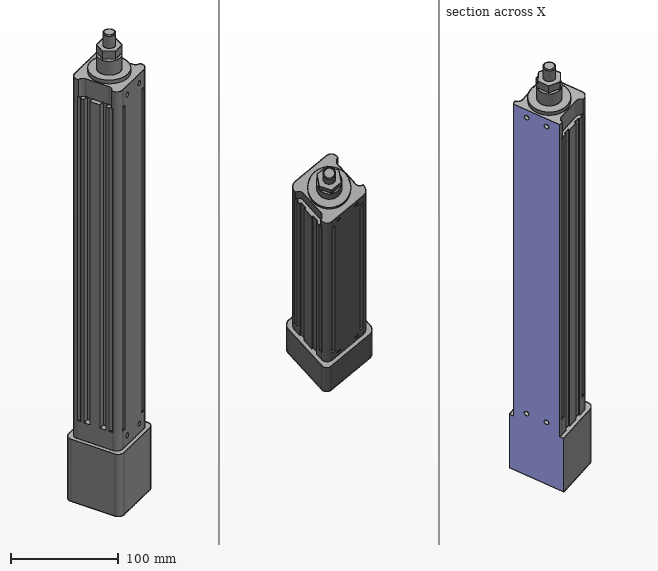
import cadquery as cq
import math

total_height = 520.0
base_height = 70.0
body_top = 475.5
collar_top = 479.5
rod_top = 495.0
nut_bottom = 496.5
nut_top = 505.5

base_width = 60.0
base_corner_radius = 6.0

body_width = 52.0
body_corner_radius = 7.0
half_body = body_width / 2

collar_diameter = 40.0
rod_diameter = 24.0
thread_diameter = 12.0
thread_chamfer = 1.0
nut_across_flats = 21.0
nut_across_corners = nut_across_flats / math.cos(math.pi / 6)

pocket_width = 35.5
pocket_depth = 4.5
pocket_height = 20.5
pocket_corner_radius = 5.0
pocket_floor = body_top - pocket_height

slot_width = 6.0
slot_ridge_width = 11.0
slot_offset = (slot_ridge_width + slot_width) / 2
deep_slot_depth = 6.0
shallow_slot_depth = 1.5
slot_end = base_height + pocket_height

groove_radius = 1.8
groove_offset = 17.0
groove_length = pocket_floor - slot_end

hole_diameter = 4.5
hole_depth = 8.0
drill_point_angle = 118
hole_offset = 11.0
hole_end_distance = 10.5
drill_point_depth = hole_diameter / 2 * math.tan(math.radians(90 - drill_point_angle / 2))


def square_block(width, corner_radius, bottom, top):
    """Upright square bar with rounded corners, centred on the Z axis."""
    bar = cq.Workplane("XY").workplane(offset=bottom).rect(width, width).extrude(top - bottom)
    return bar.edges("|Z").fillet(corner_radius)


def cylinder(diameter, bottom, top):
    """Upright cylinder on the Z axis."""
    return cq.Workplane("XY").workplane(offset=bottom).circle(diameter / 2).extrude(top - bottom)


def face_slot(center_x, width, depth, bottom, top, side):
    """Rectangular cutter let into the Y face on the given side (-1 or +1)."""
    cutter = cq.Workplane("XY").workplane(offset=bottom).center(center_x, side * half_body)
    return cutter.rect(width, 2 * depth).extrude(top - bottom)


def head_pocket(side):
    """Pocket cutter with rounded inner corners, open at the face and at the top."""
    pocket = face_slot(0, pocket_width, pocket_depth, pocket_floor, body_top, side)
    return pocket.edges("|Z").edges("<Y" if side > 0 else ">Y").fillet(pocket_corner_radius)


def corner_grooves():
    """Round cutters along the body, two in each face."""
    centers = []
    for face in (-half_body, half_body):
        for offset in (-groove_offset, groove_offset):
            centers.append((face, offset))
            centers.append((offset, face))
    plane = cq.Workplane("XY").workplane(offset=slot_end)
    return plane.pushPoints(centers).circle(groove_radius).extrude(groove_length)


def mounting_hole(side, y, z):
    """Drilled hole with a conical bottom, running inward from an X face."""
    radius = hole_diameter / 2
    outline = (
        cq.Workplane("XY")
        .polyline([(0, 0), (0, radius), (hole_depth, radius), (hole_depth + drill_point_depth, 0)])
        .close()
    )
    drill = outline.revolve(360, (0, 0, 0), (1, 0, 0)).translate((-half_body, y, z))
    return drill if side < 0 else drill.mirror("YZ")


body = square_block(body_width, body_corner_radius, base_height, body_top)
for side in (-1, 1):
    body = body.cut(head_pocket(side))
for x in (-slot_offset, slot_offset):
    body = body.cut(face_slot(x, slot_width, deep_slot_depth, slot_end, pocket_floor, -1))
    body = body.cut(face_slot(x, slot_width, shallow_slot_depth, base_height, pocket_floor, 1))
body = body.cut(corner_grooves())
for side in (-1, 1):
    for y in (-hole_offset, hole_offset):
        for z in (base_height + hole_end_distance, body_top - hole_end_distance):
            body = body.cut(mounting_hole(side, y, z))

collar = cylinder(collar_diameter, body_top, collar_top)
rod = cylinder(rod_diameter, collar_top, rod_top)
thread = cylinder(thread_diameter, rod_top, total_height).faces(">Z").chamfer(thread_chamfer)
nut = (
    cq.Workplane("XY")
    .workplane(offset=nut_bottom)
    .transformed(rotate=(0, 0, 30))
    .polygon(6, nut_across_corners)
    .extrude(nut_top - nut_bottom)
)

result = square_block(base_width, base_corner_radius, 0, base_height)
for section in (body, collar, rod, thread, nut):
    result = result.union(section)